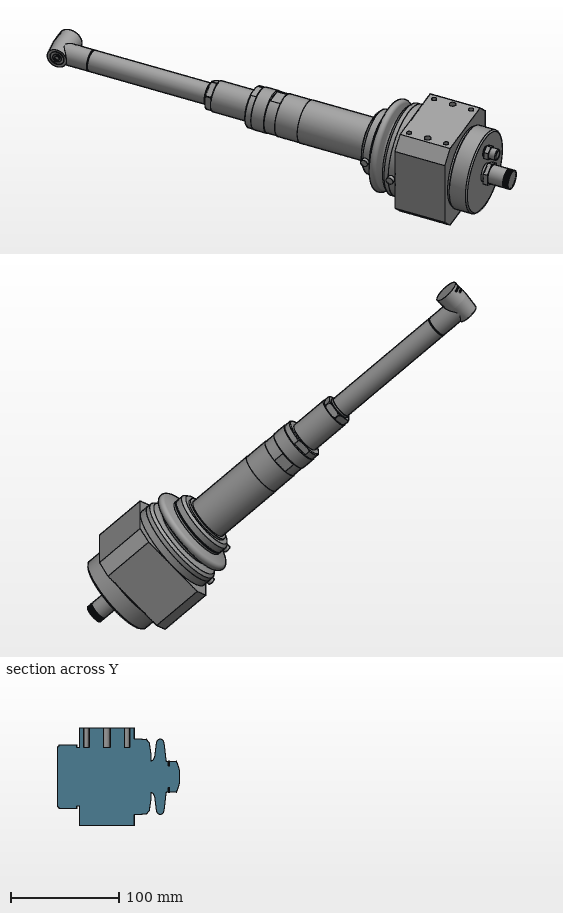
import cadquery as cq
import math

LENGTH = 469.5

HEAD_D = 23.5
HEAD_X = HEAD_D / 2
HEAD_TOP_Y = 20.0
HEAD_LINE_Y = 5.5
HEAD_NOSE_Y = -10.5
HEAD_NOSE_D = 19.5
HEAD_SLOT_WIDTH = 1.5
HEAD_SLOT_DEPTH = 0.5
HEAD_SLOTS = ((12.5, 10.5), (16.5, 15.0))
HEAD_RECESS_D = 14.0
HEAD_RECESS_DEPTH = 1.0
HEAD_SCREW_D = 8.5
HEAD_SOCKET_D = 4.5

ARM_D = 20.5
ARM_JOINT_X = 42.0
ARM_END_X = 161.5
JOINT_GROOVE_WIDTH = 1.0
JOINT_GROOVE_DEPTH = 0.5
SHOULDER_D = 22.0

NUT_X = 163.5
NUT_FLATS = 26.5
NUT_CORNERS = 30.0
NUT_CHAMFER = 1.17
SLEEVE_X = 170.0
SLEEVE_D = 30.0

BODY_X = 206.5
BODY_D = 41.5
FLAT_ZONE_D = 40.5
FLAT_ZONE_CHAMFER = 1.0
BODY_FLATS = 37.5
COLLAR_X = 212.5
COLLAR_END_X = 227.3
COLLAR_CHAMFER = 1.0
TUBE_X = 237.5
SHAFT_X = 260.5
SHAFT_D = 42.0

FLANGE_X = 327.5
FLANGE_FACE_D = 48.0
FLANGE_LIP = 2.0
FLANGE_D = 62.5
FLANGE_CHAMFER = 3.0
FLANGE_GROOVE_X = 338.5
FLANGE_GROOVE_WIDTH = 1.0
FLANGE_GROOVE_D = 59.0
RIM_X = 347.0
RIM_HALF_WIDTH = 3.8
RIM_FOOT = 2.0
RIM_SHOULDER_D = 83.0
NECK_D = 63.0
NECK_FILLET = 3.5
DISC_X = 355.5
DISC_ROOT_D = 70.5
DISC_SHOULDER_X = 357.0
DISC_SHOULDER_D = 83.5
DISC_D = 88.7
DISC_EDGE_X = 359.5
RING_X = 364.0
RING_D = 89.0

BLOCK_X = 371.0
BLOCK_END_X = 421.5
BLOCK_SIZE = 90.0
BLOCK_CHAMFER = 11.7
CORE_D = 78.0
HOLE_Y = 27.5
HOLE_D = 4.5
MIDDLE_HOLE_D = 6.0
HOLE_PITCH = 19.0
HOLE_MIDDLE_X = 396.5

COVER_X = 424.0
COVER_NECK_D = 78.0
COVER_D = 80.8
COVER_END_X = 442.0
COVER_CHAMFER = 1.5

PIN_D = 7.0
FLANGE_PIN_X = 335.0
FLANGE_PIN_TIP = 34.7
RING_PIN_X = 367.0
RING_PIN_TIP = 49.0

PLUG_BASE_D = 18.0
PLUG_NUT_X = 444.5
PLUG_NUT_END_X = 449.0
PLUG_NUT_FLATS = 20.0
PLUG_D = 18.5
KNURL_GROOVE_DEPTH = 0.5
KNURL_GROOVE_WIDTH = 1.0
KNURL_GROOVE_X = 464.0
KNURL_GROOVE_COUNT = 3
SMALL_PLUG_Z = 24.5
SMALL_BASE_D = 10.5
SMALL_NUT_X = 443.3
SMALL_NUT_END_X = 448.0
SMALL_NUT_FLATS = 12.0
SMALL_PLUG_D = 11.0
SMALL_PLUG_END_X = 455.0
SMALL_PLUG_CHAMFER = 1.0


def rod_x(start, end, diameter, z=0):
    """Cylinder along X."""
    return cq.Workplane("YZ", origin=(start, 0, z)).circle(diameter / 2).extrude(end - start)


def rod_y(start, end, diameter, x):
    """Cylinder along Y."""
    return cq.Workplane("XZ", origin=(x, end, 0)).circle(diameter / 2).extrude(end - start)


def hex_x(start, end, flats, z=0):
    """Hexagonal bar along X with corners at +Z and -Z."""
    corners = flats / math.cos(math.radians(30))
    plane = cq.Workplane(cq.Plane((start, 0, z), xDir=(0, 0, 1), normal=(1, 0, 0)))
    return plane.polygon(6, corners).extrude(end - start)


def make_head():
    """Round cap and tapered nose, with two shallow slots in the -X side of the cap."""
    head = rod_y(HEAD_LINE_Y, HEAD_TOP_Y, HEAD_D, HEAD_X)
    for y, height in HEAD_SLOTS:
        start = y - HEAD_SLOT_WIDTH / 2
        end = y + HEAD_SLOT_WIDTH / 2
        core = rod_y(start, end, HEAD_D - 2 * HEAD_SLOT_DEPTH, HEAD_X)
        cutter = cq.Workplane().box(HEAD_X, HEAD_SLOT_WIDTH, height, (False, True, True)).translate((0, y, 0))
        head = head.cut(cutter.cut(core))
    nose = (
        cq.Workplane("XZ", origin=(HEAD_X, HEAD_LINE_Y, 0))
        .circle(HEAD_D / 2)
        .workplane(offset=HEAD_LINE_Y - HEAD_NOSE_Y)
        .circle(HEAD_NOSE_D / 2)
        .loft()
    )
    return head.union(nose)


def cut_head_face(body):
    """Shallow ring recess around a screw head with a socket."""
    floor = HEAD_NOSE_Y + HEAD_RECESS_DEPTH
    screw = rod_y(HEAD_NOSE_Y, floor, HEAD_SCREW_D, HEAD_X)
    socket = rod_y(HEAD_NOSE_Y, floor, HEAD_SOCKET_D, HEAD_X)
    recess = rod_y(HEAD_NOSE_Y, floor, HEAD_RECESS_D, HEAD_X).cut(screw)
    return body.cut(recess).cut(socket)


def make_arm():
    arm = rod_x(HEAD_X, ARM_END_X, ARM_D).union(rod_x(ARM_END_X, NUT_X, SHOULDER_D))
    groove_end = ARM_JOINT_X + JOINT_GROOVE_WIDTH
    groove = rod_x(ARM_JOINT_X, groove_end, ARM_D).cut(
        rod_x(ARM_JOINT_X, groove_end, ARM_D - 2 * JOINT_GROOVE_DEPTH)
    )
    nut = hex_x(NUT_X, SLEEVE_X, NUT_FLATS).intersect(
        rod_x(NUT_X, SLEEVE_X, NUT_CORNERS).faces("<X or >X").chamfer(NUT_CHAMFER)
    )
    return arm.cut(groove).union(nut).union(rod_x(SLEEVE_X, BODY_X, SLEEVE_D))


def make_body():
    """Two flatted zones either side of a round collar, then the tube and the shaft."""
    zone = rod_x(BODY_X, TUBE_X, FLAT_ZONE_D).faces("<X").chamfer(FLAT_ZONE_CHAMFER)
    waist = (
        cq.Workplane()
        .box(TUBE_X - BODY_X, BODY_D, BODY_FLATS, (False, True, True))
        .translate((BODY_X, 0, 0))
    )
    collar = rod_x(COLLAR_X, COLLAR_END_X, BODY_D).faces("<X or >X").chamfer(COLLAR_CHAMFER)
    tube = rod_x(TUBE_X, SHAFT_X, BODY_D)
    return zone.intersect(waist).union(collar).union(tube).union(rod_x(SHAFT_X, FLANGE_X, SHAFT_D))


def make_coupling():
    """Flange, rounded rim, neck, stepped disc and ring, revolved about X."""
    lip_x = FLANGE_X + FLANGE_LIP
    groove_end = FLANGE_GROOVE_X + FLANGE_GROOVE_WIDTH
    rim_height = (RIM_SHOULDER_D - NECK_D) / 2
    flank_angle = math.atan2(rim_height, RIM_FOOT)
    foot_x = RIM_X + RIM_HALF_WIDTH + RIM_FOOT
    tangent_length = NECK_FILLET * math.tan(flank_angle / 2)
    fillet_start = (
        foot_x - tangent_length * math.cos(flank_angle),
        NECK_D / 2 + tangent_length * math.sin(flank_angle),
    )
    profile = (
        cq.Workplane("XY")
        .moveTo(FLANGE_X, 0)
        .lineTo(FLANGE_X, FLANGE_FACE_D / 2)
        .lineTo(lip_x, FLANGE_FACE_D / 2)
        .lineTo(lip_x, FLANGE_D / 2 - FLANGE_CHAMFER)
        .lineTo(lip_x + FLANGE_CHAMFER, FLANGE_D / 2)
        .lineTo(FLANGE_GROOVE_X, FLANGE_D / 2)
        .lineTo(FLANGE_GROOVE_X, FLANGE_GROOVE_D / 2)
        .lineTo(groove_end, FLANGE_GROOVE_D / 2)
        .lineTo(groove_end, FLANGE_D / 2)
        .lineTo(RIM_X - RIM_HALF_WIDTH - RIM_FOOT, FLANGE_D / 2)
        .lineTo(RIM_X - RIM_HALF_WIDTH, RIM_SHOULDER_D / 2)
        .tangentArcPoint((RIM_X + RIM_HALF_WIDTH, RIM_SHOULDER_D / 2), relative=False)
        .lineTo(*fillet_start)
        .tangentArcPoint((foot_x + tangent_length, NECK_D / 2), relative=False)
        .lineTo(DISC_X, NECK_D / 2)
        .lineTo(DISC_X, DISC_ROOT_D / 2)
        .lineTo(DISC_SHOULDER_X, DISC_SHOULDER_D / 2)
        .lineTo(DISC_EDGE_X, DISC_D / 2)
        .lineTo(RING_X, DISC_D / 2)
        .lineTo(RING_X, RING_D / 2)
        .lineTo(BLOCK_X, RING_D / 2)
        .lineTo(BLOCK_X, 0)
        .close()
    )
    coupling = profile.revolve(360, (0, 0, 0), (1, 0, 0))
    for x, tip in ((FLANGE_PIN_X, FLANGE_PIN_TIP), (RING_PIN_X, RING_PIN_TIP)):
        coupling = coupling.union(rod_y(-tip, 0, PIN_D, x))
    return coupling


def make_block():
    length = BLOCK_END_X - BLOCK_X
    block = (
        cq.Workplane()
        .box(length, BLOCK_SIZE, BLOCK_SIZE, (False, True, True))
        .edges("|X")
        .chamfer(BLOCK_CHAMFER)
        .translate((BLOCK_X, 0, 0))
    )
    core = rod_x(BLOCK_X, BLOCK_END_X, CORE_D)
    for step, diameter in ((-1, HOLE_D), (0, MIDDLE_HOLE_D), (1, HOLE_D)):
        x = HOLE_MIDDLE_X + step * HOLE_PITCH
        for y in (-HOLE_Y, HOLE_Y):
            drill = cq.Workplane(origin=(x, y, 0)).circle(diameter / 2).extrude(BLOCK_SIZE)
            block = block.cut(drill.cut(core))
    return block


def make_cover():
    cover = rod_x(COVER_X, COVER_END_X, COVER_D).faces(">X").chamfer(COVER_CHAMFER)
    return cover.union(rod_x(BLOCK_END_X, COVER_X, COVER_NECK_D))


def make_plug():
    """Large plug on the tool axis, with grip grooves at its end."""
    plug = rod_x(COVER_END_X, PLUG_NUT_X, PLUG_BASE_D).union(rod_x(PLUG_NUT_END_X, LENGTH, PLUG_D))
    for index in range(KNURL_GROOVE_COUNT):
        start = KNURL_GROOVE_X + 2 * index * KNURL_GROOVE_WIDTH
        end = start + KNURL_GROOVE_WIDTH
        plug = plug.cut(rod_x(start, end, PLUG_D).cut(rod_x(start, end, PLUG_D - 2 * KNURL_GROOVE_DEPTH)))
    return plug.union(hex_x(PLUG_NUT_X, PLUG_NUT_END_X, PLUG_NUT_FLATS))


def make_small_plug():
    base = rod_x(COVER_END_X, SMALL_NUT_X, SMALL_BASE_D, SMALL_PLUG_Z)
    nut = hex_x(SMALL_NUT_X, SMALL_NUT_END_X, SMALL_NUT_FLATS, SMALL_PLUG_Z)
    tip = rod_x(SMALL_NUT_END_X, SMALL_PLUG_END_X, SMALL_PLUG_D, SMALL_PLUG_Z)
    return base.union(nut).union(tip.faces(">X").chamfer(SMALL_PLUG_CHAMFER))


result = cut_head_face(make_head().union(make_arm()))
for section in (make_body(), make_coupling(), make_block(), make_cover(), make_plug(), make_small_plug()):
    result = result.union(section)